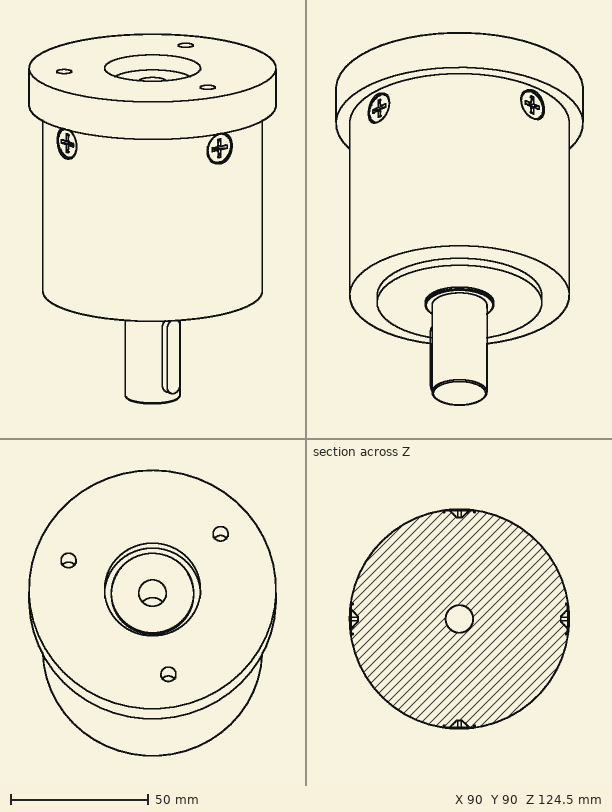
import cadquery as cq

overall_height = 124.5
flange_diameter = 90.0
flange_thickness = 14.2
body_diameter = 80.0
body_bottom = 40.0
pilot_diameter = 60.0
pilot_height = 2.9
collar_diameter = 25.0
collar_height = 1.1
collar_chamfer = 0.4
shaft_diameter = 20.0
shaft_chamfer = 0.5

recess_diameter = 35.0
recess_depth = 7.0
hub_diameter = 30.0
hub_height = 2.0
bore_diameter = 10.0
bore_depth = 24.9

mount_hole_count = 3
mount_hole_diameter = 5.5
mount_hole_depth = 12.5
mount_circle_radius = 32.5

key_width = 6.0
key_length = 28.0
key_bottom = 4.0
key_outer_reach = 12.5
key_depth = key_width

screw_count = 4
screw_height = 103.0
screw_hole_diameter = 11.5
screw_hole_depth = 1.2
screw_head_diameter = 10.7
screw_head_reach = 39.5
cross_length = 7.0
cross_width = 1.2
cross_floor_length = 1.9
cross_depth = 2.5

body_radius = body_diameter / 2
flange_bottom = overall_height - flange_thickness
pilot_bottom = body_bottom - pilot_height
collar_bottom = pilot_bottom - collar_height
hub_top = overall_height - recess_depth + hub_height


def cylinder(diameter, bottom, top):
    """Upright cylinder on the Z axis between two heights."""
    return cq.Workplane("XY").workplane(offset=bottom).circle(diameter / 2).extrude(top - bottom)


def housing():
    flange = cylinder(flange_diameter, flange_bottom, overall_height)
    body = cylinder(body_diameter, body_bottom, flange_bottom)
    pilot = cylinder(pilot_diameter, pilot_bottom, body_bottom)
    return flange.union(body).union(pilot)


def output_shaft():
    collar = cylinder(collar_diameter, collar_bottom, pilot_bottom)
    collar = collar.faces("<Z").chamfer(collar_chamfer)
    shaft = cylinder(shaft_diameter, 0, pilot_bottom)
    shaft = shaft.faces("<Z").chamfer(shaft_chamfer)
    return collar.union(shaft)


def shaft_key():
    return (
        cq.Workplane("YZ", origin=(key_outer_reach - key_depth, 0, key_bottom + key_length / 2))
        .slot2D(key_length, key_width, 90)
        .extrude(key_depth)
    )


def input_recess():
    hub_bottom = overall_height - recess_depth
    recess = cylinder(recess_diameter, hub_bottom, overall_height)
    hub = cylinder(hub_diameter, hub_bottom, hub_top)
    bore = cylinder(bore_diameter, hub_top - bore_depth, hub_top)
    return recess.cut(hub).union(bore)


def mount_holes():
    return (
        cq.Workplane("XY", origin=(0, 0, overall_height))
        .polarArray(mount_circle_radius, 0, 360, mount_hole_count)
        .circle(mount_hole_diameter / 2)
        .extrude(-mount_hole_depth)
    )


def radial_cylinder(diameter, inner, outer):
    """Cylinder pointing along +X at the height of the plug screws."""
    return (
        cq.Workplane("YZ", origin=(inner, 0, screw_height))
        .circle(diameter / 2)
        .extrude(outer - inner)
    )


def cross_slot():
    """One slot of the cross recess: a wedge that narrows towards its floor."""
    floor = screw_head_reach - cross_depth
    return (
        cq.Workplane("XZ", origin=(0, 0, screw_height))
        .moveTo(screw_head_reach, -cross_length / 2)
        .lineTo(screw_head_reach, cross_length / 2)
        .lineTo(floor, cross_floor_length / 2)
        .lineTo(floor, -cross_floor_length / 2)
        .close()
        .extrude(cross_width / 2, both=True)
    )


def cross_recess():
    slot = cross_slot()
    return slot.union(slot.rotate((0, 0, screw_height), (1, 0, screw_height), 90))


def around_body(tool, index):
    """Turn a tool from +X to one of the evenly spaced plug screw positions."""
    return tool.rotate((0, 0, 0), (0, 0, 1), index * 360 / screw_count)


result = housing().union(output_shaft()).union(shaft_key())
result = result.cut(input_recess()).cut(mount_holes())

screw_hole_floor = body_radius - screw_hole_depth
screw_hole = radial_cylinder(screw_hole_diameter, screw_hole_floor, body_radius)
screw_head = radial_cylinder(screw_head_diameter, screw_hole_floor, screw_head_reach)
screw_cross = cross_recess()

for index in range(screw_count):
    result = result.cut(around_body(screw_hole, index))
    result = result.union(around_body(screw_head, index))
    result = result.cut(around_body(screw_cross, index))